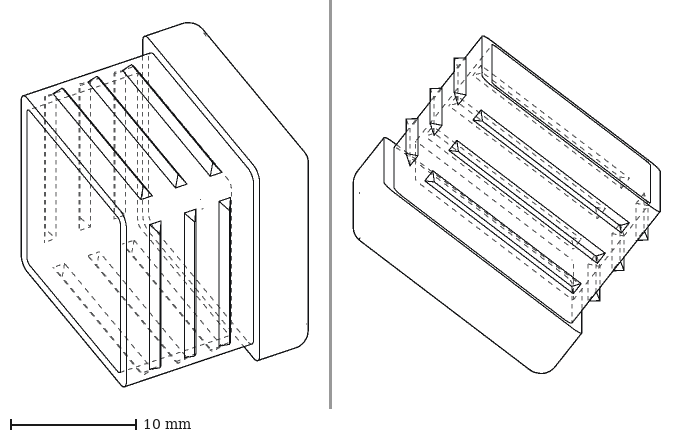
import cadquery as cq

cap_width = 20.0
cap_depth = 5.0
cap_corner_radius = 1.0
cap_edge_radius = 1.5

total_depth = 16.5
body_width = 18.0
body_corner_radius = 1.0
wall = 1.0
cavity_depth = 10.0
cavity_corner_radius = 0.5

rib_count = 3
rib_length = 15.0
rib_width = 1.05
rib_height = 0.8
rib_end_slope = 0.55
rib_overlap = 0.2

body_depth = total_depth - cap_depth
cavity_width = body_width - 2 * wall

front_y = -total_depth / 2
back_y = total_depth / 2
cap_front_y = back_y - cap_depth

rib_gap = (body_depth - rib_count * rib_width) / (rib_count + 1)
rib_pitch = rib_gap + rib_width


def square_block(width, start_y, depth):
    """Square block centred on the Y axis, running from start_y toward +Y."""
    return cq.Workplane("XY").box(width, depth, width).translate((0, start_y + depth / 2, 0))


def make_cap():
    """Cap with a rounded closed face whose rounding meets at four mitred corners."""
    block = square_block(cap_width, cap_front_y, cap_depth)
    rounded_face = block.faces(">Y").edges().fillet(cap_edge_radius)
    return rounded_face.edges("|Y").fillet(cap_corner_radius)


def make_body():
    block = square_block(body_width, front_y, body_depth)
    return block.edges("|Y").fillet(body_corner_radius)


def make_cavity():
    block = square_block(cavity_width, front_y, cavity_depth)
    return block.edges("|Y").fillet(cavity_corner_radius)


def make_rib(center_y):
    """Ridge along X on the +Z side: a triangular bar with both ends sloped."""
    base_z = body_width / 2
    half_width = rib_width / 2
    bar = (
        cq.Workplane("YZ")
        .polyline([
            (center_y - half_width, base_z),
            (center_y, base_z + rib_height),
            (center_y + half_width, base_z),
            (center_y + half_width, base_z - rib_overlap),
            (center_y - half_width, base_z - rib_overlap),
        ])
        .close()
        .extrude(rib_length / 2, both=True)
    )
    half_base = rib_length / 2
    half_ridge = half_base - rib_end_slope
    sloped_ends = (
        cq.Workplane("XZ", origin=(0, center_y, 0))
        .polyline([
            (-half_base, base_z - rib_overlap),
            (-half_base, base_z),
            (-half_ridge, base_z + rib_height),
            (half_ridge, base_z + rib_height),
            (half_base, base_z),
            (half_base, base_z - rib_overlap),
        ])
        .close()
        .extrude(rib_width, both=True)
    )
    return bar.intersect(sloped_ends)


result = make_cap().union(make_body())

for row in range(rib_count):
    rib = make_rib(front_y + rib_gap + rib_width / 2 + row * rib_pitch)
    for angle in (0, 90, 180, 270):
        result = result.union(rib.rotate((0, 0, 0), (0, 1, 0), angle))

result = result.cut(make_cavity())